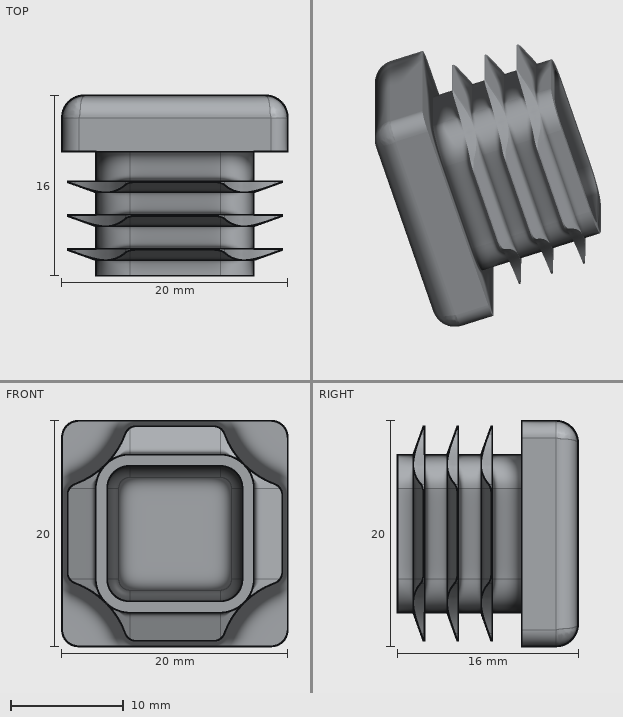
import cadquery as cq
import math


cap_width = 20.0
cap_thickness = 5.0
cap_corner_radius = 1.5
cap_edge_radius = 2.0

stem_width = 14.0
stem_length = 11.0
stem_corner_radius = 3.0
wall = 1.0
cavity_depth = 11.0
floor_radius = 1.0

fin_count = 3
first_fin_offset = 2.6
fin_pitch = 3.0
fin_span = 19.0
fin_root_thickness = 1.0
fin_tip_thickness = 0.1
notch_radius = 7.5
lobe_corner_radius = 1.0


def plane_at(y):
    """Cross-section plane facing -Y, with local axes X and Z."""
    return cq.Workplane("XZ", origin=(0, y, 0))


def rounded_prism(width, corner_radius, length, y=0.0):
    """Square prism with rounded corners, running from y toward -Y."""
    return plane_at(y).rect(width, width).extrude(length).edges("|Y").fillet(corner_radius)


def make_cap():
    block = plane_at(cap_thickness).rect(cap_width, cap_width).extrude(cap_thickness)
    block = block.faces(">Y").edges().fillet(cap_edge_radius)
    return block.edges("|Y").fillet(cap_corner_radius)


def make_cavity():
    cavity = rounded_prism(stem_width - 2 * wall, stem_corner_radius - wall, cavity_depth,
                           cavity_depth - stem_length)
    return cavity.faces(">Y").edges().fillet(floor_radius)


def fin_outline():
    """Four-lobed fin outline whose notches just touch the stem corners."""
    half_span = fin_span / 2
    diagonal = math.sqrt(0.5)
    corner_centre = stem_width / 2 - stem_corner_radius
    notch_centre = corner_centre + (stem_corner_radius + notch_radius) * diagonal
    notch_bottom = notch_centre - notch_radius * diagonal

    round_v = half_span - lobe_corner_radius
    centre_gap = notch_radius + lobe_corner_radius
    round_u = notch_centre - math.sqrt(centre_gap**2 - (notch_centre - round_v)**2)
    share = lobe_corner_radius / centre_gap
    tangent_u = round_u + (notch_centre - round_u) * share
    tangent_v = round_v + (notch_centre - round_v) * share

    middle_angle = (math.pi / 2 + math.atan2(tangent_v - round_v, tangent_u - round_u)) / 2
    middle_u = round_u + lobe_corner_radius * math.cos(middle_angle)
    middle_v = round_v + lobe_corner_radius * math.sin(middle_angle)

    def turned(u, v, quarter):
        """Point turned clockwise by a number of quarter turns."""
        for _ in range(quarter):
            u, v = v, -u
        return (u, v)

    outline = plane_at(0).moveTo(-round_u, half_span)
    for quarter in range(4):
        outline = outline.lineTo(*turned(round_u, half_span, quarter))
        outline = outline.threePointArc(turned(middle_u, middle_v, quarter),
                                        turned(tangent_u, tangent_v, quarter))
        outline = outline.threePointArc(turned(notch_bottom, notch_bottom, quarter),
                                        turned(tangent_v, tangent_u, quarter))
        outline = outline.threePointArc(turned(middle_v, middle_u, quarter),
                                        turned(half_span, round_u, quarter))
    return outline.close()


def make_fin():
    """Fin with its flat side on Y = 0, thinning from the stem out to the tip."""
    overhang = (fin_span - stem_width) / 2
    taper_height = fin_root_thickness - fin_tip_thickness
    taper_angle = math.degrees(math.atan2(overhang, taper_height))
    tip_corner_radius = stem_corner_radius + overhang

    tip_band = rounded_prism(fin_span, tip_corner_radius, fin_tip_thickness)
    tip_section = cq.Sketch().rect(fin_span, fin_span).vertices().fillet(tip_corner_radius)
    slope = plane_at(-fin_tip_thickness).placeSketch(tip_section).extrude(taper_height, taper=taper_angle)
    lobes = fin_outline().extrude(fin_root_thickness)
    return tip_band.union(slope).intersect(lobes)


result = make_cap().union(rounded_prism(stem_width, stem_corner_radius, stem_length))
fin = make_fin()
for index in range(fin_count):
    fin_y = -(first_fin_offset + index * fin_pitch)
    result = result.union(fin.translate((0, fin_y, 0)))
result = result.cut(make_cavity())